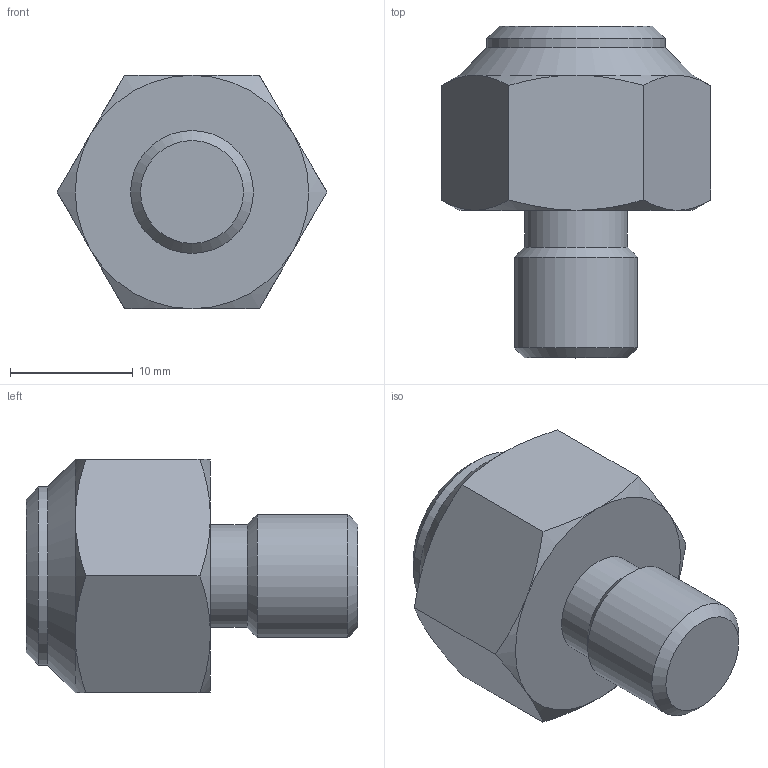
import cadquery as cq
import math

ACROSS_FLATS = 19.0
HEX_LENGTH = 11.0
HEX_CHAMFER_ANGLE = 30.0

THREAD_DIAMETER = 10.0
NECK_DIAMETER = 8.376
NECK_LENGTH = 3.0
STUD_LENGTH = 12.0

COLLAR_DIAMETER = 14.5
COLLAR_CHAMFER = 1.0
OVERALL_LENGTH = 27.0

flat_radius = ACROSS_FLATS / 2
corner_radius = flat_radius / math.cos(math.pi / 6)
thread_radius = THREAD_DIAMETER / 2
neck_radius = NECK_DIAMETER / 2
thread_chamfer = thread_radius - neck_radius
collar_radius = COLLAR_DIAMETER / 2
back_end = OVERALL_LENGTH - STUD_LENGTH
shoulder_height = flat_radius - collar_radius


def revolve_profile(points):
    """Turn a closed (radius, Y) outline around the Y axis."""
    return cq.Workplane("XY").polyline(points).close().revolve(360, (0, 0), (0, 1))


def make_hex_body():
    """Hexagonal prism with corners on the X axis, chamfered conically at both ends."""
    prism = (
        cq.Workplane("XZ")
        .polygon(6, 2 * corner_radius)
        .extrude(-HEX_LENGTH)
    )
    chamfer_drop = (corner_radius - flat_radius) * math.tan(math.radians(HEX_CHAMFER_ANGLE))
    envelope = revolve_profile([
        (0, 0),
        (flat_radius, 0),
        (corner_radius, chamfer_drop),
        (corner_radius, HEX_LENGTH - chamfer_drop),
        (flat_radius, HEX_LENGTH),
        (0, HEX_LENGTH),
    ])
    return prism.intersect(envelope)


def make_stud():
    """Neck and threaded length, the thread chamfered down to the neck at both ends."""
    return revolve_profile([
        (0, 0),
        (neck_radius, 0),
        (neck_radius, -NECK_LENGTH),
        (thread_radius, -NECK_LENGTH - thread_chamfer),
        (thread_radius, -STUD_LENGTH + thread_chamfer),
        (neck_radius, -STUD_LENGTH),
        (0, -STUD_LENGTH),
    ])


def make_collar():
    """Conical shoulder leading to a short chamfered cylinder."""
    return revolve_profile([
        (0, HEX_LENGTH),
        (flat_radius, HEX_LENGTH),
        (collar_radius, HEX_LENGTH + shoulder_height),
        (collar_radius, back_end - COLLAR_CHAMFER),
        (collar_radius - COLLAR_CHAMFER, back_end),
        (0, back_end),
    ])


result = make_hex_body().union(make_stud()).union(make_collar())